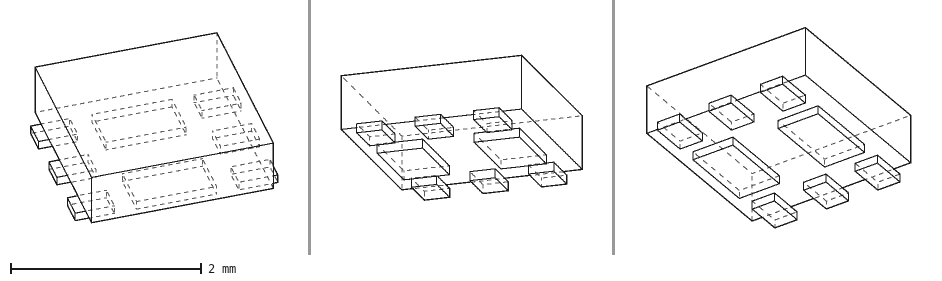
import cadquery as cq

body_side = 2.0
overall_length = 2.23
overall_height = 0.7
metal_thickness = 0.1

lead_width = 0.28
lead_length = 0.43
lead_pitch = 0.65
lead_columns = (-1, 0, 1)

pad_length = 0.88
pad_gap = 0.57
pad_outer_x = lead_pitch + lead_width / 2
pad_width = pad_outer_x - pad_gap / 2


def metal_block(width, length, x, y):
    """Flat terminal standing on Z = 0 and touching the housing underside."""
    return (
        cq.Workplane("XY")
        .center(x, y)
        .box(width, length, metal_thickness, centered=(True, True, False))
    )


def make_housing():
    """Square housing resting on the terminals."""
    housing_height = overall_height - metal_thickness
    return (
        cq.Workplane("XY")
        .workplane(offset=metal_thickness)
        .box(body_side, body_side, housing_height, centered=(True, True, False))
    )


def make_lead(column, side):
    """Lead in the given column, reaching out past the housing on one side."""
    lead_y = side * (overall_length - lead_length) / 2
    return metal_block(lead_width, lead_length, column * lead_pitch, lead_y)


def make_pad(side):
    """Exposed pad on one side of the central gap."""
    return metal_block(pad_width, pad_length, side * (pad_gap + pad_width) / 2, 0)


housing = make_housing()
leads = [make_lead(column, side) for side in (-1, 1) for column in lead_columns]
pads = [make_pad(side) for side in (-1, 1)]

result = cq.Compound.makeCompound(
    [
        housing.val(),
        *[lead.val() for lead in leads],
        *[pad.val() for pad in pads],
    ]
)